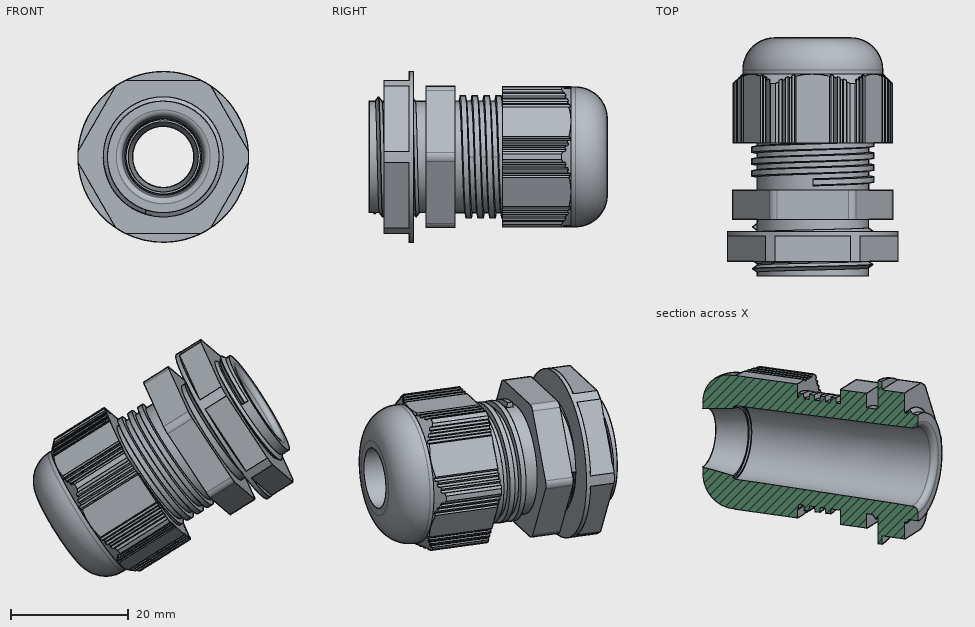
import cadquery as cq
import math


total_length = 40.45
locknut_start = 2.5
locknut_flange_start = 6.8
locknut_end = 7.55
body_hex_start = 9.62
body_hex_end = 14.6
cap_start = 22.6
cap_cone_end = 34.3
dome_start = 34.97

hex_sides = 6

entry_radius = 9.45
neck_radius = 9.5
body_hex_flats = 24.0
body_hex_corner_radius = 1.5

locknut_radius = 29.0 / 2
locknut_flats = 26.0

cap_flats = 23.85
cap_corner_radius = 13.5
dome_radius = 11.9
dome_rounding = total_length - dome_start

grooves_per_end = 3
groove_first = 2.87
groove_pitch = 1.1
groove_width = 0.73
groove_depth = 0.305
groove_inner_run = 0.2
groove_outer_run = 0.1
groove_overshoot = 0.4

entry_pitch = 1.4
entry_turns = 5.2
entry_apex_radius = 10.2
entry_base_width = 1.17
entry_crest_width = 0.1
entry_thread_end = 8.33
entry_start_angle = 108.0

neck_pitch = 2.02
neck_turns = 3.7
neck_crest_radius = 10.4
neck_base_width = 1.2
neck_crest_width = 0.9
neck_thread_start = 15.9
neck_start_angle = -90.0

thread_root_sink = 0.2

mouth_rounding = 1.05
bore_mouth_radius = 6.9
bore_end_radius = 6.5
seal_rim_radius = 6.3
seal_rim_height = 0.4
seal_radius = 5.95
outlet_radius = 5.18


def disc(radius, start, end):
    return cq.Workplane("XY").workplane(offset=start).circle(radius).extrude(end - start)


def hexagon(flats, start, end):
    """Hexagonal prism with corners on the local X axis."""
    corner_diameter = flats / math.cos(math.pi / hex_sides)
    return cq.Workplane("XY").workplane(offset=start).polygon(hex_sides, corner_diameter).extrude(end - start)


def thread(core, crest, base_width, crest_width, pitch, turns, start, start_angle):
    """Right-handed ridge whose centre line begins at the given station and angle."""
    root = core - thread_root_sink
    flank_slope = (base_width - crest_width) / 2 / (crest - core)
    half_root = base_width / 2 + thread_root_sink * flank_slope
    half_crest = crest_width / 2
    helix = cq.Wire.makeHelix(pitch, pitch * turns, root)
    ridge = (
        cq.Workplane("XZ")
        .polyline([(root, -half_root), (crest, -half_crest), (crest, half_crest), (root, half_root)])
        .close()
        .sweep(cq.Workplane(obj=helix), isFrenet=True)
    )
    return ridge.rotate((0, 0, 0), (0, 0, 1), start_angle).translate((0, 0, start))


def make_body():
    entry = disc(entry_radius, 0, body_hex_start)
    collar = hexagon(body_hex_flats, body_hex_start, body_hex_end)
    collar = collar.edges("|Z").fillet(body_hex_corner_radius)
    neck = disc(neck_radius, body_hex_end, cap_start)
    return entry.union(collar).union(neck)


def make_locknut():
    nut = hexagon(locknut_flats, locknut_start, locknut_end)
    nut = nut.intersect(disc(locknut_radius, locknut_start, locknut_end))
    return nut.union(disc(locknut_radius, locknut_flange_start, locknut_end))


def make_grip_grooves():
    """Grooves along both ends of all six cap flats."""
    face = cap_flats / 2
    floor = face - groove_depth
    clear = face + groove_overshoot
    grooves = cq.Workplane("XY").workplane(offset=cap_start)
    for side in (-1, 1):
        for index in range(grooves_per_end):
            inner = groove_first + index * groove_pitch
            outer = inner + groove_width
            section = [
                (side * inner, clear),
                (side * inner, face),
                (side * (inner + groove_inner_run), floor),
                (side * (outer - groove_outer_run), floor),
                (side * outer, face),
                (side * outer, clear),
            ]
            grooves = grooves.polyline(section).close()
    flat_grooves = grooves.extrude(cap_cone_end - cap_start)
    all_grooves = flat_grooves
    for turn in range(1, hex_sides):
        all_grooves = all_grooves.union(flat_grooves.rotate((0, 0, 0), (0, 0, 1), 360 / hex_sides * turn))
    return all_grooves


def make_cap():
    cone_height = cap_corner_radius - dome_radius
    envelope = (
        cq.Workplane("XZ")
        .moveTo(0, cap_start)
        .lineTo(cap_corner_radius, cap_start)
        .lineTo(cap_corner_radius, cap_cone_end - cone_height)
        .lineTo(dome_radius, cap_cone_end)
        .lineTo(0, cap_cone_end)
        .close()
        .revolve(360, (0, 0, 0), (0, 1, 0))
    )
    grip = hexagon(cap_flats, cap_start, cap_cone_end).intersect(envelope).cut(make_grip_grooves())
    dome = disc(dome_radius, cap_cone_end, total_length).faces(">Z").edges().fillet(dome_rounding)
    return grip.union(dome)


def make_bore():
    """Rounded mouth, slightly tapered bore, then two steps and a cone to the outlet."""
    mouth_radius = bore_mouth_radius + mouth_rounding
    diagonal = mouth_rounding * (1 - math.sqrt(0.5))
    return (
        cq.Workplane("XZ")
        .lineTo(mouth_radius, 0)
        .threePointArc((bore_mouth_radius + diagonal, diagonal), (bore_mouth_radius, mouth_rounding))
        .lineTo(bore_end_radius, cap_cone_end)
        .lineTo(seal_rim_radius, cap_cone_end)
        .lineTo(seal_rim_radius, cap_cone_end + seal_rim_height)
        .lineTo(seal_radius, cap_cone_end + seal_rim_height)
        .lineTo(outlet_radius, total_length)
        .lineTo(0, total_length)
        .close()
        .revolve(360, (0, 0, 0), (0, 1, 0))
    )


entry_thread = thread(
    entry_radius, entry_apex_radius, entry_base_width, entry_crest_width,
    entry_pitch, entry_turns, entry_thread_end - entry_pitch * entry_turns, entry_start_angle,
)
neck_thread = thread(
    neck_radius, neck_crest_radius, neck_base_width, neck_crest_width,
    neck_pitch, neck_turns, neck_thread_start, neck_start_angle,
)

gland = make_body().union(entry_thread).union(neck_thread)
gland = gland.union(make_locknut()).union(make_cap()).cut(make_bore())

result = gland.rotate((0, 0, 0), (1, 0, 0), -90)